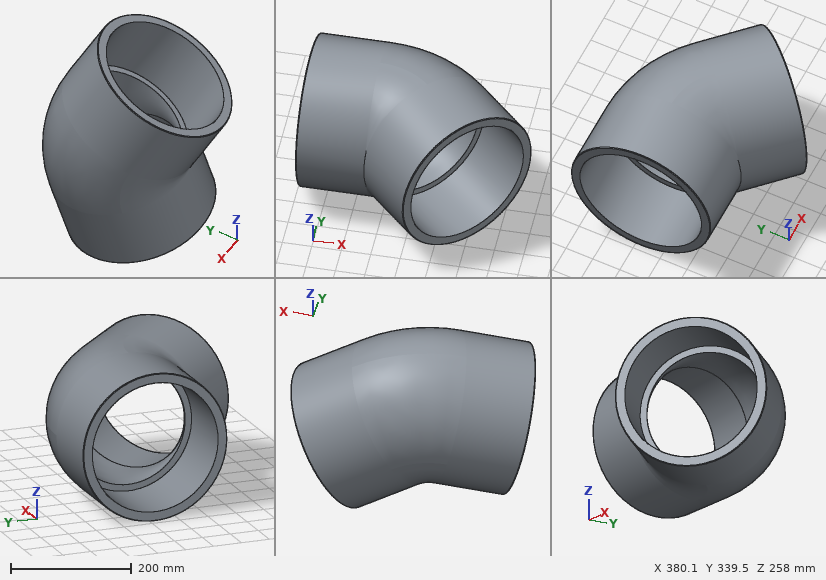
import cadquery as cq
import math

outer_diameter = 258.0
socket_diameter = 225.0
bore_diameter = 202.5
socket_length = 119.0
bend_radius = 122.3
bend_angle = 45.0
rim_chamfer_length = 1.5
rim_chamfer_depth = 1.0

bend_rad = math.radians(bend_angle)

bend_end = (bend_radius * math.sin(bend_rad), -bend_radius * (1 - math.cos(bend_rad)), 0)
exit_direction = (math.cos(bend_rad), -math.sin(bend_rad), 0)
exit_face = tuple(p + socket_length * d for p, d in zip(bend_end, exit_direction))

ends = [
    ((-socket_length, 0, 0), (1, 0, 0)),
    (exit_face, tuple(-d for d in exit_direction)),
]


def cylinder(mouth, inward, diameter, length):
    plane = cq.Plane(origin=mouth, xDir=(0, 0, 1), normal=inward)
    return cq.Workplane(plane).circle(diameter / 2).extrude(length)


def outer_end(mouth, inward):
    """Straight outer wall with a small chamfer around the mouth."""
    wall = cylinder(mouth, inward, outer_diameter, socket_length)
    mouth_edge = wall.edges(cq.NearestToPointSelector(mouth))
    return mouth_edge.chamfer(rim_chamfer_length, rim_chamfer_depth)


def bend(diameter):
    """Disc swept around the bend axis, cut off where it would cross that axis."""
    radius = diameter / 2
    section = cq.Sketch().circle(radius)
    if radius > bend_radius:
        kept_width = bend_radius + radius
        kept_side = cq.Sketch().push([(kept_width / 2 - bend_radius, 0)]).rect(kept_width, diameter)
        section = section.face(kept_side, mode="i")
    plane = cq.Plane(origin=(0, 0, 0), xDir=(0, 1, 0), normal=(1, 0, 0))
    return (
        cq.Workplane(plane)
        .placeSketch(section)
        .revolve(bend_angle, (-bend_radius, 0, 0), (-bend_radius, -1, 0))
    )


result = bend(outer_diameter)
for mouth, inward in ends:
    result = result.union(outer_end(mouth, inward))

result = result.cut(bend(bore_diameter))
for mouth, inward in ends:
    result = result.cut(cylinder(mouth, inward, socket_diameter, socket_length))